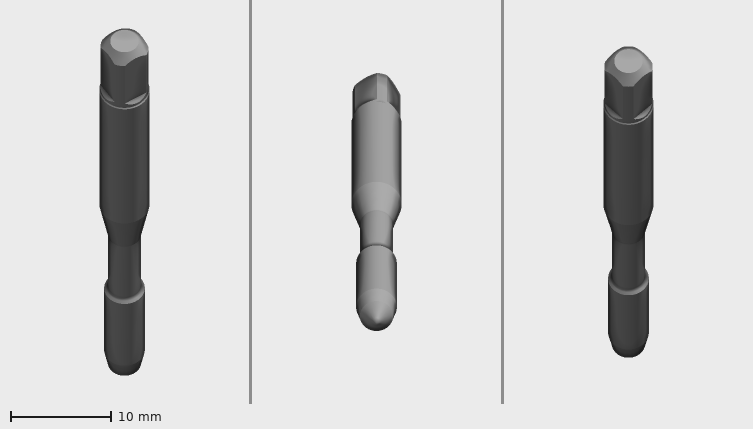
import cadquery as cq
import math

total_length = 53.45
shank_diameter = 5.0
drive_diameter = 4.8
drive_width = 4.05
drive_top_diameter = 2.85
neck_diameter = 3.3
cutter_diameter = 4.05
neck_fillet_radius = 0.5

taper_start_z = 3.75
cutter_top_z = 13.5
collar_edge_z = 13.7
neck_top_z = 22.45
shank_bottom_z = 27.25
shank_edge_z = 45.65
flat_bottom_z = 46.45

shank_radius = shank_diameter / 2
drive_radius = drive_diameter / 2
drive_top_radius = drive_top_diameter / 2
neck_radius = neck_diameter / 2
cutter_radius = cutter_diameter / 2
tip_radius = neck_radius
tip_height = tip_radius
collar_chamfer = cutter_radius - neck_radius
shank_chamfer = shank_radius - drive_radius
end_chamfer = drive_radius - drive_top_radius
flat_half_width = drive_width / 2

neck_corner_z = collar_edge_z + collar_chamfer
fillet_center_radius = neck_radius + neck_fillet_radius
fillet_center_z = neck_corner_z + neck_fillet_radius * math.tan(math.radians(22.5))


def fillet_point(angle):
    """Point on the neck fillet, with the angle in degrees below the horizontal at the neck."""
    turn = math.radians(angle)
    return (
        fillet_center_radius - neck_fillet_radius * math.cos(turn),
        fillet_center_z - neck_fillet_radius * math.sin(turn),
    )


def revolve_profile(profile):
    """Solid of revolution about Z from a half section that starts and ends on the axis."""
    return profile.close().revolve(360, (0, 0, 0), (0, 1, 0))


def flat_cutter():
    """Material outside one flat of the square, with a 45 degree run-out at its foot."""
    outer = shank_diameter
    run_out_drop = outer - flat_half_width
    profile = [
        (flat_half_width, flat_bottom_z),
        (flat_half_width, total_length),
        (outer, total_length),
        (outer, flat_bottom_z - run_out_drop),
    ]
    return cq.Workplane("XZ").polyline(profile).close().extrude(shank_radius, both=True)


def make_shank():
    """Collar, neck, conical transition, round shank and square drive end."""
    profile = (
        cq.Workplane("XZ")
        .moveTo(0, cutter_top_z)
        .lineTo(cutter_radius, cutter_top_z)
        .lineTo(cutter_radius, collar_edge_z)
        .lineTo(*fillet_point(45))
        .threePointArc(fillet_point(22.5), fillet_point(0))
        .lineTo(neck_radius, neck_top_z)
        .lineTo(shank_radius, shank_bottom_z)
        .lineTo(shank_radius, shank_edge_z)
        .lineTo(drive_radius, shank_edge_z + shank_chamfer)
        .lineTo(drive_radius, total_length - end_chamfer)
        .lineTo(drive_top_radius, total_length)
        .lineTo(0, total_length)
    )
    body = revolve_profile(profile)
    drive_zone = (
        cq.Workplane("XY")
        .workplane(offset=shank_edge_z + shank_chamfer)
        .rect(2 * shank_diameter, 2 * shank_diameter)
        .extrude(total_length)
    )
    tool = flat_cutter().intersect(drive_zone)
    for angle in (0, 90, 180, 270):
        body = body.cut(tool.rotate((0, 0, 0), (0, 0, 1), angle))
    return body


def make_cutter():
    """Pointed cutting end with a tapered lead, ending flat against the collar."""
    profile = cq.Workplane("XZ").polyline([
        (0, 0),
        (tip_radius, tip_height),
        (cutter_radius, taper_start_z),
        (cutter_radius, cutter_top_z),
        (0, cutter_top_z),
    ])
    return revolve_profile(profile)


shank = make_shank()
cutter = make_cutter()
result = cq.Compound.makeCompound([shank.val(), cutter.val()])